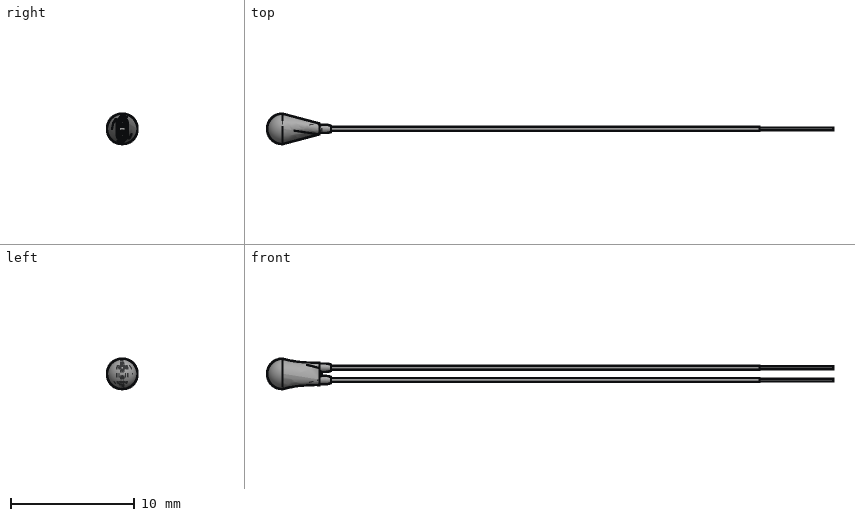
import cadquery as cq
import math

total_length = 46.0
head_diameter = 2.5

lead_spacing = 1.0
insulation_diameter = 0.35
insulation_end_x = 40.0
wire_diameter = 0.25

sleeve_diameter = 0.7
sleeve_end_diameter = 0.5
sleeve_taper_start_x = 4.8
sleeve_end_x = 5.2
embedded_length = 0.15

neck_end_x = 4.25
neck_end_width = 0.9
neck_end_height = 1.85

web_radius = 0.22
web_width = 0.5

head_radius = head_diameter / 2
head_center_x = head_radius
lead_start_x = neck_end_x - embedded_length


def rod_along_x(start_x, end_x, diameter, z):
    """Round rod parallel to X at height z."""
    return (
        cq.Workplane("YZ", origin=(start_x, 0, z))
        .circle(diameter / 2)
        .extrude(end_x - start_x)
    )


def make_bead():
    """Hemisphere that closes the -X end of the head."""
    arc_offset = head_radius * math.sqrt(0.5)
    return (
        cq.Workplane("XY")
        .moveTo(0, 0)
        .threePointArc((head_center_x - arc_offset, arc_offset), (head_center_x, head_radius))
        .lineTo(head_center_x, 0)
        .close()
        .revolve(360, (0, 0, 0), (1, 0, 0))
    )


def make_neck():
    """Neck lofted from a circle in four arcs to a slot, turning on the way."""
    diagonal = head_radius * math.sqrt(0.5)
    half_width = neck_end_width / 2
    tip = neck_end_height / 2
    half_straight = tip - half_width
    return (
        cq.Workplane("YZ", origin=(head_center_x, 0, 0))
        .moveTo(-head_radius, 0)
        .threePointArc((-diagonal, diagonal), (0, head_radius))
        .threePointArc((diagonal, diagonal), (head_radius, 0))
        .threePointArc((diagonal, -diagonal), (0, -head_radius))
        .threePointArc((-diagonal, -diagonal), (-head_radius, 0))
        .close()
        .workplane(offset=neck_end_x - head_center_x)
        .moveTo(-half_width, -half_straight)
        .lineTo(-half_width, half_straight)
        .threePointArc((0, tip), (half_width, half_straight))
        .lineTo(half_width, -half_straight)
        .threePointArc((0, -tip), (-half_width, -half_straight))
        .close()
        .loft(ruled=True)
    )


def make_web():
    """Round bar across Y, half sunk in the end of the neck."""
    return (
        cq.Workplane("XZ", origin=(neck_end_x, 0, 0))
        .circle(web_radius)
        .extrude(web_width / 2, both=True)
    )


def make_sleeve(z):
    """Sleeve whose free end curves in towards the lead."""
    return (
        cq.Workplane("XY", origin=(0, 0, z))
        .moveTo(lead_start_x, 0)
        .lineTo(lead_start_x, sleeve_diameter / 2)
        .lineTo(sleeve_taper_start_x, sleeve_diameter / 2)
        .tangentArcPoint((sleeve_end_x, sleeve_end_diameter / 2), relative=False)
        .lineTo(sleeve_end_x, 0)
        .close()
        .revolve(360, (0, 0, 0), (1, 0, 0))
    )


def make_lead(z):
    """One lead: sleeve, insulation and stripped wire, all starting inside the neck."""
    insulation = rod_along_x(lead_start_x, insulation_end_x, insulation_diameter, z)
    wire = rod_along_x(lead_start_x, total_length, wire_diameter, z)
    return make_sleeve(z).union(insulation).union(wire)


result = make_bead().union(make_neck()).union(make_web())
for side in (-1, 1):
    result = result.union(make_lead(side * lead_spacing / 2))